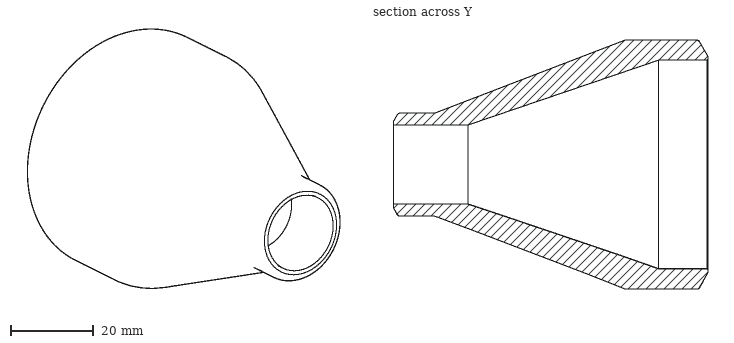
import cadquery as cq
import math

LENGTH = 76.0
LARGE_COLLAR_LENGTH = 20.0
SMALL_COLLAR_LENGTH = 10.0

LARGE_BORE_LENGTH = 12.0
SMALL_BORE_LENGTH = 18.0

BORE_MOUTH_CHAMFER = 0.3

LARGE_OUTER_DIAMETER = 60.3
LARGE_BORE_DIAMETER = 50.3
SMALL_OUTER_DIAMETER = 25.0
SMALL_BORE_DIAMETER = 19.0

LAND_WIDTH = 1.0
BEVEL_ANGLE = 30.0
BEVEL_ROUND_RADIUS = 1.0

CONE_ROUND_RADIUS = 1.5

SELECTION_MARGIN = 0.01

LARGE_END_X = -LENGTH / 2
SMALL_END_X = LENGTH / 2
CONE_START_X = LARGE_END_X + LARGE_COLLAR_LENGTH
CONE_END_X = SMALL_END_X - SMALL_COLLAR_LENGTH

LARGE_OUTER_RADIUS = LARGE_OUTER_DIAMETER / 2
LARGE_BORE_RADIUS = LARGE_BORE_DIAMETER / 2
SMALL_OUTER_RADIUS = SMALL_OUTER_DIAMETER / 2
SMALL_BORE_RADIUS = SMALL_BORE_DIAMETER / 2


def revolve_about_x(profile_points):
    """Turn a closed (x, radius) outline about the X axis."""
    profile = cq.Workplane("XZ").polyline(profile_points).close()
    return profile.revolve(360, (0, 0, 0), (1, 0, 0))


def bevel_depth(outer_radius, land_radius):
    """Axial depth of a weld bevel between the land and the outer surface."""
    return (outer_radius - land_radius) * math.tan(math.radians(BEVEL_ANGLE))


def round_edge_circle(body, x, radius, round_radius):
    """Round the circular edge of the given radius at position x."""
    reach = radius + SELECTION_MARGIN
    lower = (x - SELECTION_MARGIN, -reach, -reach)
    upper = (x + SELECTION_MARGIN, reach, reach)
    edge_circle = body.edges(cq.selectors.BoxSelector(lower, upper, boundingbox=True))
    return edge_circle.fillet(round_radius)


def make_outer_body():
    large_land_radius = LARGE_BORE_RADIUS + LAND_WIDTH
    small_land_radius = SMALL_BORE_RADIUS + LAND_WIDTH
    large_bevel_x = LARGE_END_X + bevel_depth(LARGE_OUTER_RADIUS, large_land_radius)
    small_bevel_x = SMALL_END_X - bevel_depth(SMALL_OUTER_RADIUS, small_land_radius)

    body = revolve_about_x([
        (LARGE_END_X, 0),
        (LARGE_END_X, large_land_radius),
        (large_bevel_x, LARGE_OUTER_RADIUS),
        (CONE_START_X, LARGE_OUTER_RADIUS),
        (CONE_END_X, SMALL_OUTER_RADIUS),
        (small_bevel_x, SMALL_OUTER_RADIUS),
        (SMALL_END_X, small_land_radius),
        (SMALL_END_X, 0),
    ])
    body = round_edge_circle(body, large_bevel_x, LARGE_OUTER_RADIUS, BEVEL_ROUND_RADIUS)
    body = round_edge_circle(body, small_bevel_x, SMALL_OUTER_RADIUS, BEVEL_ROUND_RADIUS)
    body = round_edge_circle(body, CONE_START_X, LARGE_OUTER_RADIUS, CONE_ROUND_RADIUS)
    return round_edge_circle(body, CONE_END_X, SMALL_OUTER_RADIUS, CONE_ROUND_RADIUS)


def make_bore():
    return revolve_about_x([
        (LARGE_END_X, 0),
        (LARGE_END_X, LARGE_BORE_RADIUS + BORE_MOUTH_CHAMFER),
        (LARGE_END_X + BORE_MOUTH_CHAMFER, LARGE_BORE_RADIUS),
        (LARGE_END_X + LARGE_BORE_LENGTH, LARGE_BORE_RADIUS),
        (SMALL_END_X - SMALL_BORE_LENGTH, SMALL_BORE_RADIUS),
        (SMALL_END_X, SMALL_BORE_RADIUS),
        (SMALL_END_X, 0),
    ])


result = make_outer_body().cut(make_bore())